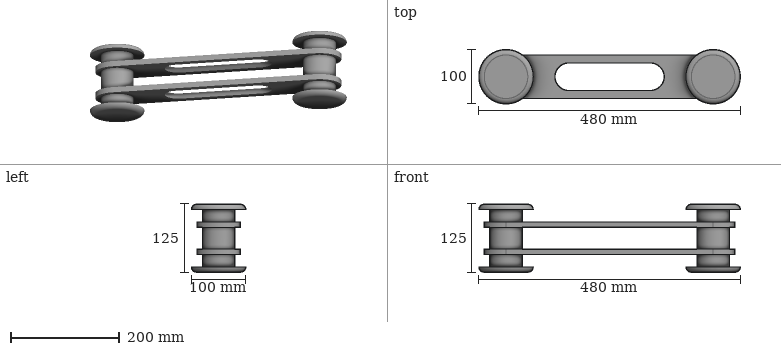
import cadquery as cq
import math

post_spacing = 380.0
post_diameter = 60.0
total_height = 125.0

cap_diameter = 100.0
cap_thickness = 10.0

plate_width = 80.0
plate_thickness = 10.0
plate_gap = 40.0
slot_length = 200.0
slot_width = 50.0

plate_length = post_spacing + plate_width
half_height = total_height / 2
post_positions = (-post_spacing / 2, post_spacing / 2)
plate_bottoms = (-plate_gap / 2 - plate_thickness, plate_gap / 2)


def make_post(x):
    """Post with its two rounded caps, revolved about its axis and centred on mid-height."""
    post_radius = post_diameter / 2
    cap_radius = cap_diameter / 2
    face_radius = cap_radius - cap_thickness
    cap_inner = half_height - cap_thickness
    arc_offset = cap_thickness * math.sqrt(0.5)
    arc_mid_radius = face_radius + arc_offset
    arc_mid_height = cap_inner + arc_offset
    post = (
        cq.Workplane("XZ")
        .moveTo(0, -half_height)
        .lineTo(face_radius, -half_height)
        .threePointArc((arc_mid_radius, -arc_mid_height), (cap_radius, -cap_inner))
        .lineTo(post_radius, -cap_inner)
        .lineTo(post_radius, cap_inner)
        .lineTo(cap_radius, cap_inner)
        .threePointArc((arc_mid_radius, arc_mid_height), (face_radius, half_height))
        .lineTo(0, half_height)
        .close()
        .revolve(360, (0, 0, 0), (0, 1, 0))
    )
    return post.translate((x, 0, 0))


def make_plate(bottom):
    """Round-ended link plate with a central round-ended slot through it."""
    base = cq.Workplane("XY").workplane(offset=bottom)
    plate = base.slot2D(plate_length, plate_width).extrude(plate_thickness)
    slot = base.slot2D(slot_length, slot_width).extrude(plate_thickness)
    return plate.cut(slot)


def build_part():
    """Join the posts and plates into one solid."""
    part = cq.Workplane("XY")
    for x in post_positions:
        part = part.add(make_post(x))
    for bottom in plate_bottoms:
        part = part.add(make_plate(bottom))
    return part.combine()


result = build_part()